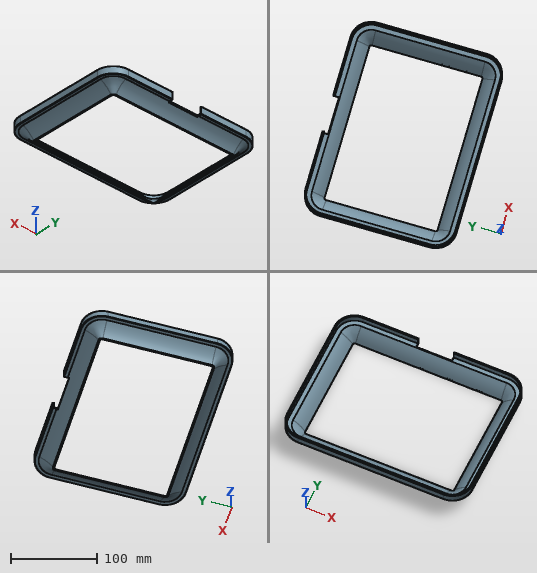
import cadquery as cq

length = 237.0
width = 183.0
height = 25.0
corner_radius = 25.4

wall = 2.0
ledge_bottom = 14.2
ledge_top = ledge_bottom + wall
edge_chamfer = 0.7
funnel_outer_inset = 5.0
funnel_inner_inset = 7.8
opening_inset = 23.2
rim_outer_inset = opening_inset - wall
outer_curve_mid = (14.0, 8.3)
inner_curve_mid = (16.4, 9.0)

notch_width = 45.5
notch_depth = 6.6


def frame_profile():
    """Cross-section at the middle of the left side: wall, ledge and curved funnel."""
    return (
        cq.Workplane("XZ", origin=(-length / 2, 0, 0))
        .moveTo(0, height)
        .lineTo(0, ledge_bottom + edge_chamfer)
        .lineTo(edge_chamfer, ledge_bottom)
        .lineTo(funnel_outer_inset, ledge_bottom)
        .threePointArc(outer_curve_mid, (rim_outer_inset, 0))
        .lineTo(opening_inset, 0)
        .threePointArc(inner_curve_mid, (funnel_inner_inset, ledge_top))
        .lineTo(wall, ledge_top)
        .lineTo(wall, height)
        .close()
    )


def outer_path():
    """Rounded rectangle around the outer wall, starting at the middle of the left side."""
    half_x = length / 2
    half_y = width / 2
    straight_x = half_x - corner_radius
    straight_y = half_y - corner_radius
    return (
        cq.Workplane("XY")
        .moveTo(-half_x, 0)
        .lineTo(-half_x, straight_y)
        .radiusArc((-straight_x, half_y), corner_radius)
        .lineTo(straight_x, half_y)
        .radiusArc((half_x, straight_y), corner_radius)
        .lineTo(half_x, -straight_y)
        .radiusArc((straight_x, -half_y), corner_radius)
        .lineTo(-straight_x, -half_y)
        .radiusArc((-half_x, -straight_y), corner_radius)
        .close()
    )


def back_notch():
    """Block that opens the back wall and most of the ledge over the full height."""
    return (
        cq.Workplane("XY", origin=(0, width / 2, 0))
        .box(notch_width, 2 * notch_depth, height, centered=(True, True, False))
    )


frame = frame_profile().sweep(outer_path())
result = frame.cut(back_notch())